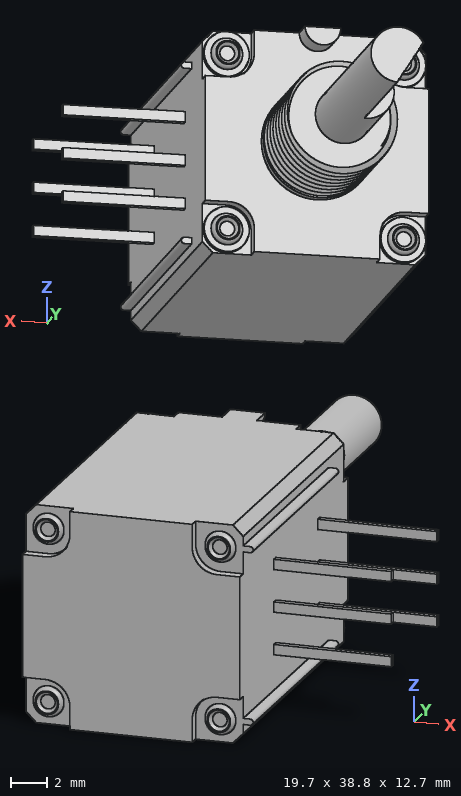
import cadquery as cq


body_side = 12.71
body_length = 18.83
corner_chamfer = 0.6
half_side = body_side / 2
back_face = -body_length

fastener_inset = 1.33
fastener_offset = half_side - fastener_inset
pocket_side = 2.78
pocket_radius = pocket_side - fastener_inset
front_pocket_depth = 0.76
back_pocket_depth = 0.6
flange_radius = 1.28
flange_height = 0.27
head_radius = 0.9
head_height = 0.3
dome_radius = 0.4
head_rim_radius = 0.68
recess_radius = 0.62
recess_floor_radius = 0.42
recess_depth = 0.2

bushing_length = 6.4
thread_radius = 3.175
thread_depth = 0.48
thread_pitch = 0.706
thread_base = 0.65
thread_overlap = 0.04
collar_length = 0.5
core_radius = thread_radius - thread_depth

lug_radius = 1.02
lug_length = 1.45

shaft_radius = 1.59
shaft_reach = 13.58
flat_length = 8.0
flat_distance = 0.77
shaft_angle = 122.5

terminal_pitch = 2.48
terminal_width = 0.6
terminal_thickness = 0.36
terminal_embed = 1.0
overall_width = 19.66
front_terminal_y = -5.12
gang_pitch = 7.6
front_terminal_tip = overall_width - half_side
back_terminal_tip = front_terminal_tip - 0.1

strip_width = 0.36
strip_reach = 0.58
strip_start = -3.4
strip_end = back_face + back_pocket_depth
strip_length = strip_start - strip_end

corners = [(side_x, side_z) for side_x in (-1, 1) for side_z in (-1, 1)]


def along_y(start):
    """Sketch plane at Y = start whose extrusions run toward +Y, with local axes (-X, Z)."""
    return cq.Workplane(cq.Plane(origin=(0, start, 0), xDir=(-1, 0, 0), normal=(0, 1, 0)))


def make_block():
    block = along_y(back_face).rect(body_side, body_side).extrude(body_length)
    return block.edges("|Y").chamfer(corner_chamfer)


def make_pocket(side_x, side_z, start, depth):
    """Square corner cutter with its inner edge rounded about the fastener axis."""
    center = half_side - pocket_side / 2
    pocket = along_y(start).center(-side_x * center, side_z * center)
    pocket = pocket.rect(pocket_side, pocket_side).extrude(depth)
    inner_edge = cq.selectors.NearestToPointSelector(
        (side_x * (half_side - pocket_side), start + depth / 2, side_z * (half_side - pocket_side))
    )
    return pocket.edges("|Y").edges(inner_edge).fillet(pocket_radius)


def make_head():
    """Domed fastener head with a tapered recess, standing along +Z."""
    recess_floor = head_height - recess_depth
    return (
        cq.Workplane("XZ")
        .lineTo(head_radius, 0)
        .radiusArc((head_rim_radius, head_height), -dome_radius)
        .lineTo(recess_radius, head_height)
        .lineTo(recess_floor_radius, recess_floor)
        .lineTo(0, recess_floor)
        .close()
        .revolve(360, (0, 0, 0), (0, 1, 0))
    )


def make_back_fastener():
    return make_head().rotate((0, 0, 0), (1, 0, 0), 90)


def make_front_fastener():
    flange = cq.Workplane("XY").circle(flange_radius).extrude(flange_height)
    head = make_head().translate((0, 0, flange_height))
    return flange.union(head).rotate((0, 0, 0), (1, 0, 0), -90)


def make_bushing():
    """Core with a helical V-thread that runs out into a full-diameter collar."""
    core = cq.Workplane("XY").circle(core_radius).extrude(bushing_length)
    collar = cq.Workplane("XY").circle(thread_radius).extrude(collar_length)
    root_radius = core_radius - thread_overlap
    helix = cq.Wire.makeHelix(thread_pitch, bushing_length + thread_pitch, root_radius)
    ridge = (
        cq.Workplane("XZ")
        .moveTo(root_radius, -thread_base / 2)
        .lineTo(thread_radius, 0)
        .lineTo(root_radius, thread_base / 2)
        .close()
        .sweep(cq.Workplane(obj=helix), isFrenet=True)
    )
    envelope = cq.Workplane("XY").circle(thread_radius * 2).extrude(bushing_length)
    bushing = core.union(ridge.intersect(envelope)).union(collar)
    return bushing.rotate((0, 0, 0), (1, 0, 0), -90)


def make_lug():
    """Half-round lug, flat side up and flush with the top of the block."""
    return (
        along_y(0)
        .moveTo(-lug_radius, half_side)
        .threePointArc((0, half_side - lug_radius), (lug_radius, half_side))
        .close()
        .extrude(lug_length)
    )


def make_terminal(center_y, center_z, tip):
    inner_end = half_side - terminal_embed
    blade = cq.Workplane("YZ", origin=(inner_end, center_y, center_z))
    return blade.rect(terminal_thickness, terminal_width).extrude(tip - inner_end)


def make_strip(center_z):
    """Strip lying along Y with a fully rounded outer edge."""
    round_radius = strip_width / 2
    flat_end = half_side + strip_reach - round_radius
    inner_end = half_side - terminal_embed
    return (
        cq.Workplane("XZ", origin=(0, strip_start, center_z))
        .moveTo(inner_end, -round_radius)
        .lineTo(flat_end, -round_radius)
        .threePointArc((flat_end + round_radius, 0), (flat_end, round_radius))
        .lineTo(inner_end, round_radius)
        .close()
        .extrude(strip_length)
    )


def make_shaft():
    """Round shaft with its flat turned about the axis; the inner end fills the bushing bore."""
    tip = bushing_length + shaft_reach
    base = cq.Plane(origin=(0, 0, 0), xDir=(1, 0, 0), normal=(0, 1, 0))
    base = base.rotated((0, 0, -shaft_angle))
    rod = cq.Workplane(base).circle(shaft_radius).extrude(tip)
    flat_cut = (
        cq.Workplane(base)
        .workplane(offset=tip - flat_length)
        .center(0, -flat_distance - shaft_radius)
        .rect(4 * shaft_radius, 2 * shaft_radius)
        .extrude(flat_length)
    )
    return rod.cut(flat_cut)


def make_housing():
    housing = make_block()
    front_pocket_floor = -front_pocket_depth
    back_pocket_floor = back_face + back_pocket_depth
    for side_x, side_z in corners:
        housing = housing.cut(make_pocket(side_x, side_z, front_pocket_floor, front_pocket_depth))
        housing = housing.cut(make_pocket(side_x, side_z, back_face, back_pocket_depth))
        x = side_x * fastener_offset
        z = side_z * fastener_offset
        housing = housing.union(make_front_fastener().translate((x, front_pocket_floor, z)))
        housing = housing.union(make_back_fastener().translate((x, back_pocket_floor, z)))

    housing = housing.union(make_lug())
    for side_z in (-1, 1):
        housing = housing.union(make_strip(side_z * fastener_offset))
    for row_z in (-terminal_pitch, 0, terminal_pitch):
        housing = housing.union(make_terminal(front_terminal_y, row_z, front_terminal_tip))
        housing = housing.union(make_terminal(front_terminal_y - gang_pitch, row_z, back_terminal_tip))

    housing = housing.union(make_bushing())
    bore = along_y(0).circle(shaft_radius).extrude(bushing_length)
    return housing.cut(bore)


housing = make_housing()
shaft = make_shaft()

result = cq.Compound.makeCompound([housing.val(), shaft.val()])